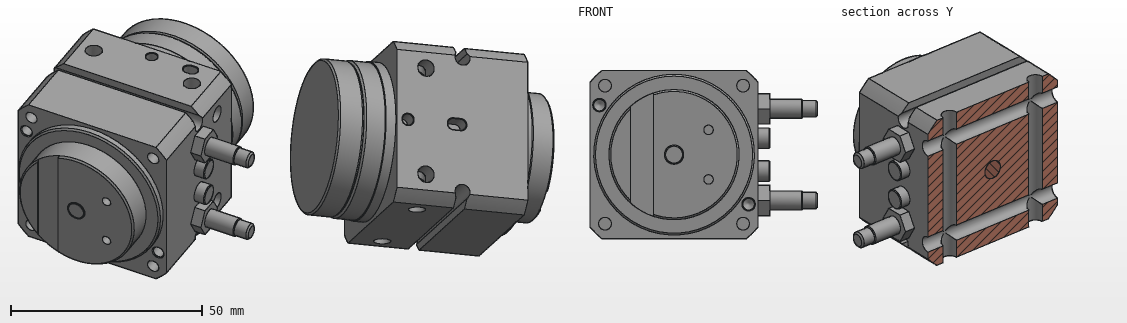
import cadquery as cq
import math


pilot_front = 7.0
block_front = 9.0
block_rear = 45.0
collar_rear = 47.85
ring_rear = 53.5
overall_length = 60.5

flange_diameter = 34.0
pilot_diameter = 42.0
ring_diameter = 41.5
rear_disc_diameter = 41.0
shaft_diameter = 5.0
turned_chamfer = 0.5
parting_chamfer = 0.55
collar_chamfer = 0.2
shaft_chamfer = 0.3

block_side = 44.0
block_half = block_side / 2
block_length = block_rear - block_front
corner_turning_diameter = 57.95

groove_y = 27.0
groove_neck_width = 3.0
groove_bore_diameter = 4.1
groove_bore_z = 18.4

mounting_diameter = 4.5
mounting_offset = 14.5
mounting_y = 37.0

dowel_diameter = 3.0
dowel_chamfer = 0.2
dowel_depth = 5.0
dowel_y = 42.0
top_slot_x = 11.5
top_slot_travel = 0.95
side_slot_y = 28.5
side_slot_travel = 2.0

screw_hole_diameter = 3.3
screw_hole_offset = 18.0
front_hole_depth = 8.0
drilled_port_diameter = 3.0
drilled_port_chamfer = 0.25
drilled_port_x = 19.5
drilled_port_z = 12.95
drill_point_angle = 118

keyway_width = 6.0
keyway_centre_x = -8.35
keyway_depth = turned_chamfer
pin_hole_diameter = 2.5
pin_hole_depth = 5.0
pin_hole_x = 9.0
pin_hole_z = 6.5

fitting_y = groove_y
hose_fitting_z = 12.0
hex_across_flats = 8.0
hex_thickness = 3.0
hose_diameter = 5.0
hose_end_x = 33.6
hose_chamfer = 0.25
tip_diameter = 4.4
tip_end_x = 37.5
tip_chamfer = 0.5
plug_diameter = 5.45
plug_length = 3.0
plug_chamfer = 0.25
plug_z = 4.3


def turned(diameter, y_start, y_end):
    """Cylinder on the rotation axis."""
    plane = cq.Plane(origin=(0, y_start, 0), xDir=(0, 0, 1), normal=(0, 1, 0))
    return cq.Workplane(plane).circle(diameter / 2).extrude(y_end - y_start)


def make_block():
    """Square block whose long edges are turned down to a common cylinder."""
    block = cq.Workplane("XY").box(block_side, block_length, block_side)
    block = block.translate((0, (block_front + block_rear) / 2, 0))
    return block.intersect(turned(corner_turning_diameter, block_front, block_rear))


def make_turned_steps():
    """Flange and pilot in front of the block, collar and ring behind it."""
    flange = turned(flange_diameter, 0, block_front).faces("<Y").chamfer(turned_chamfer)
    pilot = turned(pilot_diameter, pilot_front, block_front).faces("<Y").chamfer(turned_chamfer)
    collar = turned(pilot_diameter, block_rear, collar_rear).faces(">Y").chamfer(collar_chamfer)
    ring = turned(ring_diameter, block_rear, ring_rear).faces(">Y").chamfer(parting_chamfer)
    return flange.union(pilot).union(collar).union(ring)


def make_groove(side):
    """Cutter for the keyhole groove in the top (side = 1) or bottom (side = -1)."""
    bore = (
        cq.Workplane("YZ")
        .center(groove_y, side * groove_bore_z)
        .circle(groove_bore_diameter / 2)
        .extrude(block_half, both=True)
    )
    neck_height = block_half - groove_bore_z
    neck = cq.Workplane("XY").box(block_side, groove_neck_width, neck_height)
    return bore.union(neck.translate((0, groove_y, side * (groove_bore_z + neck_height / 2))))


def make_mounting_holes():
    """Cutter for the through holes along Z and along X."""
    offsets = [(-mounting_offset, mounting_y), (mounting_offset, mounting_y)]
    along_z = cq.Workplane("XY").pushPoints(offsets)
    along_z = along_z.circle(mounting_diameter / 2).extrude(block_half, both=True)
    side_offsets = [(y, z) for z, y in offsets]
    along_x = cq.Workplane("YZ").pushPoints(side_offsets)
    along_x = along_x.circle(mounting_diameter / 2).extrude(block_half, both=True)
    return along_z.union(along_x)


def dowel_cutter(plane, travel):
    """Blind dowel hole into a face, stretched by travel, with a chamfered mouth.

    The plane lies on the face with its normal pointing out of the block.
    """
    def outline(diameter):
        sketch = cq.Workplane(plane)
        if travel == 0:
            return sketch.circle(diameter / 2)
        return sketch.slot2D(travel + diameter, diameter)

    hole = outline(dowel_diameter).extrude(-dowel_depth)
    mouth = outline(dowel_diameter + 2 * dowel_chamfer).extrude(-dowel_chamfer, taper=45)
    return hole.union(mouth)


def make_dowel_holes():
    """Cutter for one dowel hole and one dowel slot in the top and in the -X side."""
    def top_plane(x):
        return cq.Plane(origin=(x, dowel_y, block_half), xDir=(1, 0, 0), normal=(0, 0, 1))

    def side_plane(y):
        return cq.Plane(origin=(-block_half, y, 0), xDir=(0, 1, 0), normal=(-1, 0, 0))

    top = dowel_cutter(top_plane(0), 0).union(dowel_cutter(top_plane(top_slot_x), top_slot_travel))
    side = dowel_cutter(side_plane(dowel_y), 0).union(
        dowel_cutter(side_plane(side_slot_y), side_slot_travel)
    )
    return top.union(side)


def make_screw_holes():
    """Cutter for the four blind holes near the front corners of the block."""
    pitch = 2 * screw_hole_offset
    front = cq.Workplane("XZ", origin=(0, block_front, 0))
    holes = front.rect(pitch, pitch, forConstruction=True).vertices()
    return holes.circle(screw_hole_diameter / 2).extrude(-front_hole_depth)


def make_drilled_ports():
    """Cutter for two diagonally opposite drilled holes with conical bottoms."""
    radius = drilled_port_diameter / 2
    mouth_radius = radius + drilled_port_chamfer
    bottom = block_front + front_hole_depth
    point_length = radius / math.tan(math.radians(drill_point_angle / 2))
    drill = (
        cq.Workplane("XY")
        .moveTo(0, block_front)
        .lineTo(mouth_radius, block_front)
        .lineTo(radius, block_front + drilled_port_chamfer)
        .lineTo(radius, bottom)
        .lineTo(0, bottom + point_length)
        .close()
        .revolve(360, (0, 0, 0), (0, 1, 0))
    )
    upper = drill.translate((-drilled_port_x, 0, drilled_port_z))
    lower = drill.translate((drilled_port_x, 0, -drilled_port_z))
    return upper.union(lower)


def make_flange_cuts():
    """Cutter for the keyway across the flange face and its two pin holes."""
    keyway = cq.Workplane("XY").box(keyway_width, keyway_depth, flange_diameter)
    keyway = keyway.translate((keyway_centre_x, keyway_depth / 2, 0))
    pin_holes = (
        cq.Workplane("XZ")
        .pushPoints([(pin_hole_x, pin_hole_z), (pin_hole_x, -pin_hole_z)])
        .circle(pin_hole_diameter / 2)
        .extrude(-pin_hole_depth)
    )
    return keyway.union(pin_holes)


def make_hose_fitting():
    """Hexagon, chamfered hose stem and chamfered tip, pointing along +X at z = 0."""
    face = cq.Workplane("YZ", origin=(block_half, fitting_y, 0))
    across_corners = hex_across_flats / math.cos(math.pi / 6)
    hexagon = face.polygon(6, across_corners).extrude(hex_thickness)
    stem = face.circle(hose_diameter / 2).extrude(hose_end_x - block_half)
    stem = stem.faces(">X").chamfer(hose_chamfer)
    tip = face.circle(tip_diameter / 2).extrude(tip_end_x - block_half)
    tip = tip.faces(">X").chamfer(tip_chamfer)
    return hexagon.union(stem).union(tip)


def make_plug():
    """Short round plug on the +X side at z = 0."""
    face = cq.Workplane("YZ", origin=(block_half, fitting_y, 0))
    return face.circle(plug_diameter / 2).extrude(plug_length).faces(">X").chamfer(plug_chamfer)


def make_housing():
    """Block with its turned steps, holes and fittings, bored through for the shaft."""
    housing = make_block().union(make_turned_steps())
    for side in (1, -1):
        housing = housing.cut(make_groove(side))
        housing = housing.union(make_hose_fitting().translate((0, 0, side * hose_fitting_z)))
        housing = housing.union(make_plug().translate((0, 0, side * plug_z)))
    housing = housing.cut(make_mounting_holes())
    housing = housing.cut(make_dowel_holes())
    housing = housing.cut(make_screw_holes())
    housing = housing.cut(make_drilled_ports())
    housing = housing.cut(make_flange_cuts())
    return housing.cut(turned(shaft_diameter, 0, ring_rear))


def make_rotor():
    """Rear disc and its shaft, which ends flush with the front face of the flange."""
    shaft_radius = shaft_diameter / 2
    disc_radius = rear_disc_diameter / 2
    return (
        cq.Workplane("XY")
        .moveTo(0, 0)
        .lineTo(-shaft_radius + shaft_chamfer, 0)
        .lineTo(-shaft_radius, shaft_chamfer)
        .lineTo(-shaft_radius, ring_rear)
        .lineTo(-disc_radius + parting_chamfer, ring_rear)
        .lineTo(-disc_radius, ring_rear + parting_chamfer)
        .lineTo(-disc_radius, overall_length - turned_chamfer)
        .lineTo(-disc_radius + turned_chamfer, overall_length)
        .lineTo(0, overall_length)
        .close()
        .revolve(360, (0, 0, 0), (0, 1, 0))
    )


housing = make_housing()
rotor = make_rotor()

result = cq.Compound.makeCompound([housing.val(), rotor.val()])